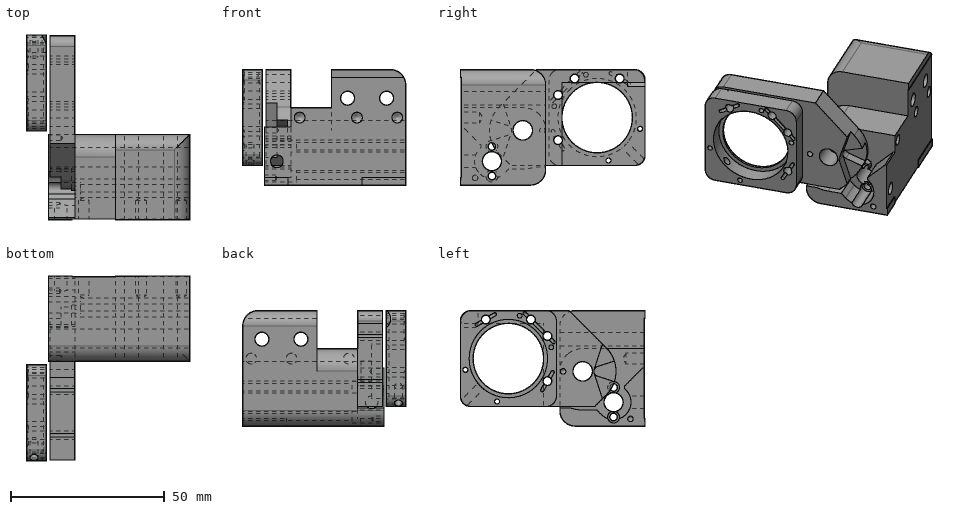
import cadquery as cq
import math


total_x = 53.0
total_y = 60.1
total_z = 37.6

frame_size = 31.25
frame_thickness = 6.35
frame_corner_radius = 3.5
frame_centre_y = total_y - frame_size / 2
frame_centre_z = total_z - frame_size / 2
aperture_radius = 11.4
seat_radius = 12.75
seat_depth = 5.45
set_screw_radius = 1.3
set_screw_x = 2.4
spring_hole_radius = 1.4
spring_circle_radius = 14.65
spring_angles = (60, 120, 150, 210)
pin_groove_radius = 0.55
short_groove_half_length = 3.35
long_groove_half_length = 6.6
small_hole_radius = 0.8
small_hole_near = 3.65
small_hole_far = 13.95
ball_groove_radius = 3.5
ball_groove_depth = 1.45
ball_groove_length = 5.75
ball_groove_z = 34.85

plate_front_x = 7.5
plate_back_x = 15.7
plate_end_y = 59.8
pivot_y = 20.3
pivot_z = 17.85
pivot_hole_radius = 3.1
pivot_boss_radius = 10.8
notch_tip_radius = 1.6
notch_tip_y = 15.1
wide_notch_half_angle = 72
wide_notch_floor_x = 11.1
narrow_notch_half_angle = 18
narrow_notch_floor_x = 14.5
set_hole_radius = 0.9
set_hole_depth = 3.6
plate_set_hole_y = 26.7

block_front_x = 7.0
block_depth_y = 27.75
middle_step_x = 28.8
middle_step_z = 25.2
front_step_z = 19.0
block_edge_radius = 5.05
middle_edge_radius = 7.3
relief_depth = 0.25
land_height = 2.6
front_land_end_x = 14.8
rear_land_start_x = 38.8
bore_y = 10.3
bore_z = 7.8
bore_radius = 3.05
bore_pocket_radius = 5.65
swing_clearance_radius = 12.55
swing_end_y = 24.1
pocket_slope_bottom_y = 6.7
pocket_slope_bottom_z = 13.05
screw_spacing = 4.8
screw_hole_radius = 1.2
counterbore_radius = 1.9
counterbore_depth = 1.8
block_set_hole_y = 4.8
block_set_hole_z = 2.4
cross_hole_radius = 2.2
cross_hole_z = 28.3
cross_hole_xs = (34.05, 46.75)
blind_hole_radius = 1.75
blind_hole_depth = 6.0
blind_hole_z = 22.0
blind_hole_xs = (18.5, 37.1, 50.2)
pocket_hole_radius = 2.05
pocket_hole_x = 11.1
drill_tip_angle = 118


def box(x0, x1, y0, y1, z0, z1):
    """A box between two opposite corners."""
    return cq.Workplane("XY").box(x1 - x0, y1 - y0, z1 - z0, centered=False).translate((x0, y0, z0))


def rod_x(radius, y, z, x0, x1):
    """A cylinder along X."""
    return cq.Workplane("YZ", origin=(x0, 0, 0)).center(y, z).circle(radius).extrude(x1 - x0)


def rod_y(radius, x, z, y0, y1):
    """A cylinder along Y."""
    return cq.Workplane("XZ", origin=(0, y0, 0)).center(x, z).circle(radius).extrude(y0 - y1)


def drilled_hole(radius, depth, start, direction):
    """A blind hole with a conical drill tip."""
    tip_depth = radius / math.tan(math.radians(drill_tip_angle / 2))
    barrel = cq.Solid.makeCylinder(radius, depth, start, direction)
    tip = cq.Solid.makeCone(radius, 0, tip_depth, start + direction * depth, direction)
    return cq.Workplane(barrel.fuse(tip))


def polar(radius, angle, y, z):
    """The (Y, Z) place at a radius and an angle, measured from +Y towards +Z, about (y, z)."""
    turn = math.radians(angle)
    return y + radius * math.cos(turn), z + radius * math.sin(turn)


spring_holes = [polar(spring_circle_radius, angle, frame_centre_y, frame_centre_z) for angle in spring_angles]


def pin_groove(y, z, half_length, angle):
    """A round-bottomed, round-ended groove in the front face of the frame, along the given angle."""
    profile = (
        cq.Workplane("XY")
        .moveTo(-half_length - pin_groove_radius, 0)
        .radiusArc((-half_length, pin_groove_radius), pin_groove_radius)
        .lineTo(half_length, pin_groove_radius)
        .radiusArc((half_length + pin_groove_radius, 0), pin_groove_radius)
        .close()
    )
    capsule = profile.revolve(360, (0, 0, 0), (1, 0, 0))
    along_y = capsule.rotate((0, 0, 0), (0, 0, 1), 90)
    return along_y.rotate((0, 0, 0), (1, 0, 0), angle).translate((0, y, z))


def make_frame():
    frame = box(0, frame_thickness, total_y - frame_size, total_y, total_z - frame_size, total_z)
    frame = frame.edges("|X").fillet(frame_corner_radius)

    frame = frame.cut(rod_x(aperture_radius, frame_centre_y, frame_centre_z, 0, frame_thickness))
    frame = frame.cut(rod_x(seat_radius, frame_centre_y, frame_centre_z, 0, seat_depth))
    set_screw = cq.Solid.makeCylinder(
        set_screw_radius,
        frame_size,
        cq.Vector(set_screw_x, frame_centre_y, frame_centre_z),
        cq.Vector(0, 1, -1),
    )
    frame = frame.cut(cq.Workplane(set_screw))

    for y, z in spring_holes:
        frame = frame.cut(rod_x(spring_hole_radius, y, z, 0, frame_thickness))
    for place in (0, 3):
        y, z = spring_holes[place]
        frame = frame.cut(pin_groove(y, z, short_groove_half_length, spring_angles[place] - 90))
    middle_y = (spring_holes[1][0] + spring_holes[2][0]) / 2
    middle_z = (spring_holes[1][1] + spring_holes[2][1]) / 2
    frame = frame.cut(pin_groove(middle_y, middle_z, long_groove_half_length, 45))

    for side in (1, -1):
        for dy, dz in ((small_hole_near, -small_hole_far), (small_hole_far, -small_hole_near)):
            y = frame_centre_y + side * dy
            z = frame_centre_z + side * dz
            frame = frame.cut(rod_x(small_hole_radius, y, z, 0, frame_thickness))

    groove_axis_x = frame_thickness - ball_groove_depth + ball_groove_radius
    groove_start_y = total_y - ball_groove_length
    return frame.cut(rod_y(ball_groove_radius, groove_axis_x, ball_groove_z, groove_start_y, total_y))


def notch(half_angle, floor_x):
    """A wedge that opens towards -Y from a round tip, cut from the plate's front face."""
    turn = math.radians(half_angle)
    edge_y = notch_tip_radius * math.sin(turn)
    edge_z = notch_tip_radius * math.cos(turn)
    reach = 2 * pivot_boss_radius
    end_y = edge_y - reach * math.cos(turn)
    end_z = edge_z + reach * math.sin(turn)
    return (
        cq.Workplane("YZ", origin=(plate_front_x, notch_tip_y, pivot_z))
        .moveTo(end_y, -end_z)
        .lineTo(edge_y, -edge_z)
        .threePointArc((notch_tip_radius, 0), (edge_y, edge_z))
        .lineTo(end_y, end_z)
        .close()
        .extrude(floor_x - plate_front_x)
    )


def make_plate():
    bottom_z = total_z - frame_size
    post_inner_y = frame_centre_y - aperture_radius
    arm_inner_z = frame_centre_z + aperture_radius
    tangent_offset = pivot_boss_radius * math.sin(math.radians(45))
    tangent_y = pivot_y - tangent_offset
    lower_tangent_z = pivot_z - tangent_offset
    upper_tangent_z = pivot_z + tangent_offset
    plate = (
        cq.Workplane("YZ", origin=(plate_front_x, 0, 0))
        .moveTo(plate_end_y, total_z)
        .lineTo(plate_end_y, arm_inner_z)
        .lineTo(post_inner_y, arm_inner_z)
        .lineTo(post_inner_y, bottom_z)
        .lineTo(tangent_y + lower_tangent_z - bottom_z, bottom_z)
        .lineTo(tangent_y, lower_tangent_z)
        .threePointArc((pivot_y - pivot_boss_radius, pivot_z), (tangent_y, upper_tangent_z))
        .lineTo(tangent_y + total_z - upper_tangent_z, total_z)
        .close()
        .extrude(plate_back_x - plate_front_x)
    )
    plate = plate.edges("|X and >Y and >Z").fillet(frame_corner_radius)

    plate = plate.cut(notch(wide_notch_half_angle, wide_notch_floor_x))
    plate = plate.cut(notch(narrow_notch_half_angle, narrow_notch_floor_x))
    plate = plate.cut(rod_x(pivot_hole_radius, pivot_y, pivot_z, plate_front_x, plate_back_x))
    for y, z in spring_holes:
        plate = plate.cut(rod_x(spring_hole_radius, y, z, plate_front_x, plate_back_x))
    set_hole_start = cq.Vector(plate_front_x, plate_set_hole_y, pivot_z)
    return plate.cut(drilled_hole(set_hole_radius, set_hole_depth, set_hole_start, cq.Vector(1, 0, 0)))


def bore_pocket():
    """The space over the front ledge: a round pocket at the bore and room for the plate to swing."""
    ledge_z = pivot_z - swing_clearance_radius
    swing_end_z = pivot_z - math.sqrt(swing_clearance_radius**2 - (swing_end_y - pivot_y) ** 2)
    swing_middle_y = (swing_end_y + pivot_y) / 2
    swing_middle_z = pivot_z - math.sqrt(swing_clearance_radius**2 - (swing_middle_y - pivot_y) ** 2)
    tangent_offset = bore_pocket_radius * math.sin(math.radians(45))
    tangent_y = bore_y + tangent_offset
    tangent_z = bore_z - tangent_offset
    ledge_end_y = tangent_y + ledge_z - tangent_z
    pocket_right_z = bore_z + math.sqrt(bore_pocket_radius**2 - (pocket_slope_bottom_y - bore_y) ** 2)
    slope_top_y = pocket_slope_bottom_y - (front_step_z - pocket_slope_bottom_z)
    return (
        cq.Workplane("YZ", origin=(block_front_x, 0, 0))
        .moveTo(block_depth_y, total_z)
        .lineTo(block_depth_y, swing_end_z)
        .lineTo(swing_end_y, swing_end_z)
        .threePointArc((swing_middle_y, swing_middle_z), (pivot_y, ledge_z))
        .lineTo(ledge_end_y, ledge_z)
        .lineTo(tangent_y, tangent_z)
        .threePointArc((bore_y, bore_z - bore_pocket_radius), (pocket_slope_bottom_y, pocket_right_z))
        .lineTo(pocket_slope_bottom_y, pocket_slope_bottom_z)
        .lineTo(slope_top_y, front_step_z)
        .lineTo(0, front_step_z)
        .lineTo(0, total_z)
        .close()
        .extrude(plate_back_x - block_front_x)
    )


def make_block():
    rear = box(middle_step_x, total_x, 0, block_depth_y, 0, total_z)
    rear = rear.edges(">Z and (>Y or >X)").fillet(block_edge_radius)
    front = box(block_front_x, middle_step_x, 0, block_depth_y, 0, middle_step_z)
    front = front.edges(">Z and >Y").fillet(middle_edge_radius)
    block = front.union(rear)
    block = block.edges("|X and <Z and >Y").fillet(block_edge_radius)

    top_land_z = total_z - land_height
    block = block.cut(box(block_front_x, total_x, 0, relief_depth, land_height, top_land_z))
    block = block.cut(box(front_land_end_x, rear_land_start_x, 0, relief_depth, 0, land_height))

    block = block.cut(bore_pocket())
    block = block.cut(rod_x(bore_radius, bore_y, bore_z, block_front_x, total_x))
    block = block.cut(rod_x(pivot_hole_radius, pivot_y, pivot_z, block_front_x, total_x))
    for z in (bore_z - screw_spacing, bore_z + screw_spacing):
        block = block.cut(rod_x(screw_hole_radius, bore_y, z, block_front_x, total_x))
        counterbore_end_x = plate_back_x + counterbore_depth
        block = block.cut(rod_x(counterbore_radius, bore_y, z, block_front_x, counterbore_end_x))
    set_hole_start = cq.Vector(block_front_x, block_set_hole_y, block_set_hole_z)
    block = block.cut(drilled_hole(set_hole_radius, set_hole_depth, set_hole_start, cq.Vector(1, 0, 0)))

    for x in cross_hole_xs:
        block = block.cut(rod_y(cross_hole_radius, x, cross_hole_z, 0, block_depth_y))
    for x in blind_hole_xs:
        blind_hole_start = cq.Vector(x, relief_depth, blind_hole_z)
        block = block.cut(drilled_hole(blind_hole_radius, blind_hole_depth, blind_hole_start, cq.Vector(0, 1, 0)))
    return block.cut(rod_y(pocket_hole_radius, pocket_hole_x, bore_z, 0, bore_y))


frame = make_frame()
plate = make_plate()
block = make_block()

bodies = (frame, plate, block)
result = cq.Compound.makeCompound([body.solids().val() for body in bodies])